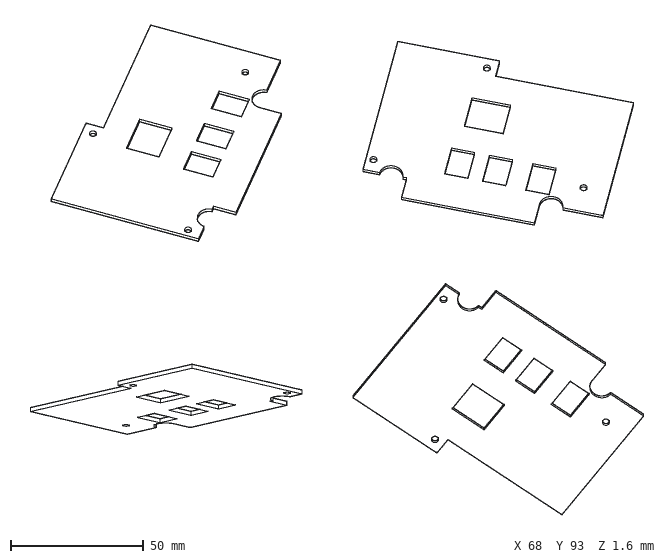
import cadquery as cq

length_x = 68.0
length_y = 93.0
thickness = 1.6

left_step_x = 7.0
left_step_y = 39.5
right_step_x = 59.0
tab_bottom_y = 17.0
tab_top_y = 68.5

notch_radius = 4.5
notch_center_x = 59.4
lower_notch_y = 11.0
upper_notch_y = tab_top_y + notch_radius

hole_diameter = 2.6
hole_centers = [(4.2, 35.5), (53.8, 2.9), (48.4, 83.1)]

large_window = (18.5, 33.0, 13.0, 15.0)
small_window_left = 42.2
small_window_width = 11.8
small_window_height = 9.0
top_window_width = 12.1
small_windows = [
    (small_window_left, 30.5, small_window_width, small_window_height),
    (small_window_left, 45.2, small_window_width, small_window_height),
    (small_window_left, 62.0, top_window_width, small_window_height),
]


def stepped_plate():
    """Flat plate with a left shoulder and a tab on the right side."""
    outline = [
        (0, 0),
        (right_step_x, 0),
        (right_step_x, tab_bottom_y),
        (length_x, tab_bottom_y),
        (length_x, tab_top_y),
        (right_step_x, tab_top_y),
        (right_step_x, length_y),
        (left_step_x, length_y),
        (left_step_x, left_step_y),
        (0, left_step_y),
    ]
    return cq.Workplane("XY").polyline(outline).close().extrude(thickness)


def round_cutters(centers, radius):
    """Full-thickness cylinders at the given centers."""
    return cq.Workplane("XY").pushPoints(centers).circle(radius).extrude(thickness)


def window_cutter(left, bottom, width, height):
    """Full-thickness block placed by its lower-left corner."""
    return cq.Workplane("XY").box(width, height, thickness, centered=False).translate((left, bottom, 0))


notch_centers = [(notch_center_x, lower_notch_y), (notch_center_x, upper_notch_y)]

result = stepped_plate()
result = result.cut(round_cutters(notch_centers, notch_radius))
result = result.cut(round_cutters(hole_centers, hole_diameter / 2))
for window in [large_window] + small_windows:
    result = result.cut(window_cutter(*window))